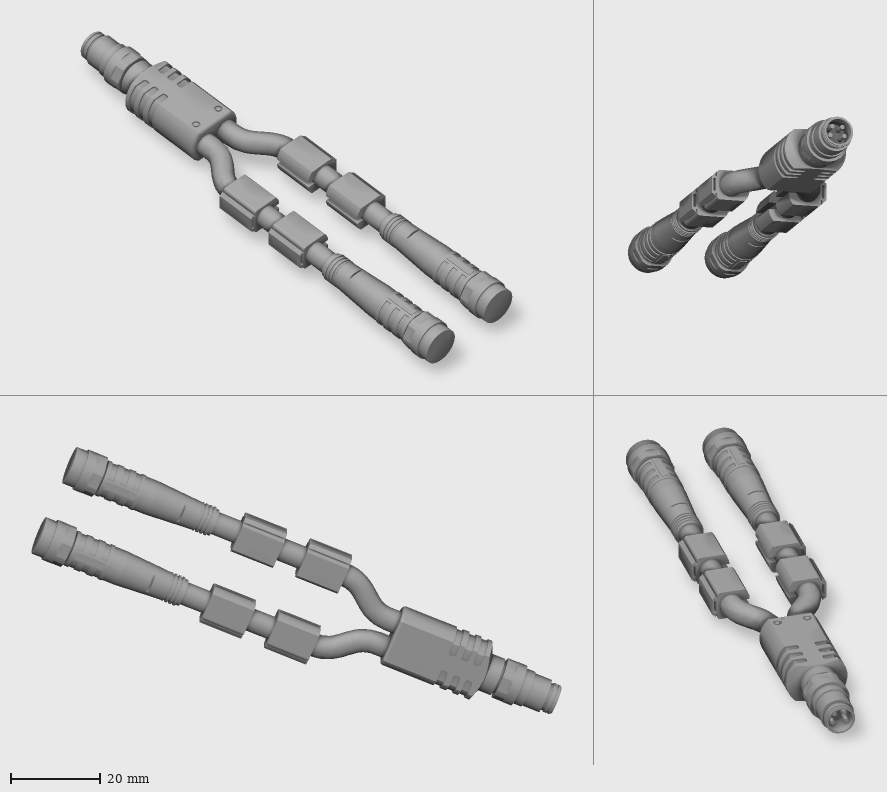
import cadquery as cq
import math


total_length = 122.1
overall_width = 27.6
coupling_diameter = 9.6
branch_y = (overall_width - coupling_diameter) / 2
cable_diameter = 5.3
exit_spacing = 6.2
exit_y = exit_spacing / 2

nut_ring_length = 2.2
nut_grip_length = 2.5
nut_flat_count = 6
nut_across_flats = 9.0
nut_flat_turn = 180 / nut_flat_count
nut_length = nut_ring_length + nut_grip_length

sleeve_diameter = 6.5
sleeve_rib_diameter = 7.0
sleeve_length = 2.7
sleeve_ribs = [(0.4, 0.4), (1.1, 0.7)]
barrel_diameter = 7.8
collar_diameter = 8.4
collar_start = 6.8
male_nut_start = 9.0
neck_gap = 0.6
neck_gap_diameter = 7.2
neck_diameter = 8.8
bore_diameter = 5.7
bore_depth = 4.9
pin_diameter = 1.0
pin_circle_diameter = 3.5
pin_angles = (49, 131, 204, 336)
pin_setback = 1.0

body_start = 17.2
body_end = 40.0
body_width = 14.3
body_height = 9.2
body_face_width = 10.0
nose_start_diameter = 8.3
nose_length = 1.2
body_end_fillet = 0.7
body_groove_starts = (19.4, 22.3, 25.4)
body_groove_width = 1.7
body_groove_depth = 0.43
body_groove_gap = 3.8
body_groove_corner = 0.6
lamp_x = 37.5
lamp_spacing = 7.0
lamp_diameter = 2.0
lamp_depth = 0.4
lamp_pin_diameter = 1.0

bend_start = 42.1
bend_end = 55.3

clip_starts = (bend_end, 71.1)
clip_length = 10.1
clip_height = 6.8
clip_half_width = 4.4
clip_lip_face_y = 3.3
clip_lip_radius = 3.8
clip_shoulder_y = 3.2
clip_shoulder_radius = 0.7
clip_slit_height = 1.5
clip_neck_height = 3.9
label_slot_y = 3.4
label_slot_width = 0.6
label_slot_height = 2.9
plate_inner_y = 3.5
plate_face_height = 3.9
plate_back_height = 5.4

grommet_start = 86.9
grommet_lead_length = 0.9
grommet_lead_diameter = 6.2
grommet_diameter = 6.8
grommet_groove_starts = (88.3, 89.3, 90.2)
grommet_groove_width = 0.5
cone_start = 91.0
cone_start_diameter = 6.6
cone_end = 102.1
cone_end_diameter = 8.0
grip_start = 105.3
grip_diameter = 8.4
grip_end = 114.3
mark_x = 94.9
mark_width = 0.5
mark_spacing = 5.6
grip_groove_starts = (106.1, 109.0, 112.0)
grip_groove_width = 1.5
grip_groove_depth = 0.2
grip_groove_gap = 2.7
bar_width = 1.6
bar_height = 8.7
bar_length = grip_groove_starts[-1] + grip_groove_width - grip_groove_starts[0]
female_nut_start = 114.8
socket_gap_diameter = 5.9
socket_diameter = 8.8


def cylinder(start, length, diameter, y=0.0, z=0.0):
    """Round bar along X."""
    return (
        cq.Workplane("YZ", origin=(start, y, z))
        .circle(diameter / 2)
        .extrude(length)
    )


def cone(start, length, start_diameter, end_diameter):
    """Truncated cone along X."""
    profile = [
        (start, 0),
        (start, start_diameter / 2),
        (start + length, end_diameter / 2),
        (start + length, 0),
    ]
    return (
        cq.Workplane("XY")
        .polyline(profile)
        .close()
        .revolve(360, (0, 0, 0), (1, 0, 0))
    )


def ring(start, width, outer_diameter, inner_diameter):
    """Flat ring around the X axis, used to cut grooves."""
    return cylinder(start, width, outer_diameter).cut(
        cylinder(start, width, inner_diameter)
    )


def box(start, length, width, height):
    """Block starting at an X position, centred in Y and Z."""
    return cq.Workplane("XY", origin=(start, 0, 0)).box(
        length, width, height, centered=(False, True, True)
    )


def coupling_nut(ring_start, grip_start):
    """Smooth ring beside a grip zone with milled flats."""
    grip = cylinder(grip_start, nut_grip_length, coupling_diameter)
    flats = (
        cq.Workplane("YZ", origin=(grip_start, 0, 0))
        .polygon(nut_flat_count, nut_across_flats, circumscribed=True)
        .extrude(nut_grip_length)
        .rotate((0, 0, 0), (1, 0, 0), nut_flat_turn)
    )
    nut_ring = cylinder(ring_start, nut_ring_length, coupling_diameter)
    return grip.intersect(flats).union(nut_ring)


def male_connector():
    nut_end = male_nut_start + nut_length
    neck_start = nut_end + neck_gap
    sleeve = cylinder(0, sleeve_length, sleeve_diameter)
    for start, width in sleeve_ribs:
        sleeve = sleeve.union(cylinder(start, width, sleeve_rib_diameter))
    plug = (
        sleeve
        .union(cylinder(sleeve_length, collar_start - sleeve_length, barrel_diameter))
        .union(cylinder(collar_start, male_nut_start - collar_start, collar_diameter))
        .union(coupling_nut(male_nut_start, male_nut_start + nut_ring_length))
        .union(cylinder(nut_end, neck_gap, neck_gap_diameter))
        .union(cylinder(neck_start, body_start - neck_start, neck_diameter))
        .cut(cylinder(0, bore_depth, bore_diameter))
    )
    pin_circle_radius = pin_circle_diameter / 2
    for angle in pin_angles:
        y = pin_circle_radius * math.cos(math.radians(angle))
        z = pin_circle_radius * math.sin(math.radians(angle))
        plug = plug.union(cylinder(pin_setback, bore_depth, pin_diameter, y, z))
    return plug


def body_section(start, end, inset=0.0):
    """Flat top and bottom with bulging round sides; inset shrinks the section."""
    half_width = body_width / 2 - inset
    half_face = body_face_width / 2 - inset
    half_height = body_height / 2 - inset
    return (
        cq.Workplane("YZ", origin=(start, 0, 0))
        .moveTo(-half_face, -half_height)
        .lineTo(half_face, -half_height)
        .threePointArc((half_width, 0), (half_face, half_height))
        .lineTo(-half_face, half_height)
        .threePointArc((-half_width, 0), (-half_face, -half_height))
        .close()
        .extrude(end - start)
    )


def splitter_body():
    body = body_section(body_start, body_end)
    body = body.faces(">X").edges().fillet(body_end_fillet)

    nose = cone(body_start, nose_length, nose_start_diameter, body_width)
    rest = cylinder(body_start + nose_length, body_end - body_start, 2 * body_width)
    body = body.intersect(nose.union(rest))

    side_width = body_width
    side_y = (body_groove_gap + side_width) / 2
    for start in body_groove_starts:
        core = body_section(start, start + body_groove_width, body_groove_depth)
        for side in (-1, 1):
            groove = (
                box(start, body_groove_width, side_width, 2 * body_height)
                .edges("|Z")
                .fillet(body_groove_corner)
                .translate((0, side * side_y, 0))
            )
            body = body.cut(groove.cut(core))

    top_z = body_height / 2
    for side in (-1, 1):
        recess = (
            cq.Workplane("XY", origin=(lamp_x, side * lamp_spacing / 2, top_z - lamp_depth))
            .circle(lamp_diameter / 2)
            .circle(lamp_pin_diameter / 2)
            .extrude(lamp_depth)
        )
        body = body.cut(recess)
    return body


def branch_cable():
    """Cable on the +Y side: out of the body, through an S bend, along the branch."""
    path = (
        cq.Workplane("XY")
        .moveTo(body_end - body_end_fillet, exit_y)
        .lineTo(bend_start, exit_y)
        .spline([(bend_end, branch_y)], tangents=[(1, 0), (1, 0)], includeCurrent=True)
        .lineTo(grommet_start, branch_y)
    )
    return (
        cq.Workplane("YZ", origin=(body_end - body_end_fillet, exit_y, 0))
        .circle(cable_diameter / 2)
        .sweep(path)
    )


def label_clip(start):
    """Cable clip slit on its inner side, with a label plate on its outer (+Y) side."""
    half_height = clip_height / 2
    half_slit = clip_slit_height / 2
    upper_half = (
        cq.Workplane("YZ", origin=(start, 0, 0))
        .moveTo(0, half_slit)
        .lineTo(-clip_half_width, half_slit)
        .radiusArc((-clip_lip_face_y, half_height), clip_lip_radius)
        .lineTo(clip_shoulder_y - clip_shoulder_radius, half_height)
        .radiusArc((clip_shoulder_y, half_height - clip_shoulder_radius), clip_shoulder_radius)
        .lineTo(clip_shoulder_y, 0)
        .lineTo(0, 0)
        .close()
        .extrude(clip_length)
    )
    body = upper_half.union(upper_half.mirror("XY"))

    plate_half_face = plate_face_height / 2
    plate_half_back = plate_back_height / 2
    plate = (
        cq.Workplane("YZ", origin=(start, 0, 0))
        .polyline([
            (clip_half_width, -plate_half_face),
            (clip_half_width, plate_half_face),
            (plate_inner_y, plate_half_back),
            (plate_inner_y, -plate_half_back),
        ])
        .close()
        .extrude(clip_length)
    )
    neck = (
        cq.Workplane("XY", origin=(start, 0, 0))
        .box(clip_length, plate_inner_y, clip_neck_height, centered=(False, False, True))
    )
    label_slot = (
        cq.Workplane("XY", origin=(start, label_slot_y, 0))
        .box(clip_length, label_slot_width, label_slot_height, centered=(False, False, True))
    )
    return body.union(neck).union(plate).cut(label_slot)


def grommet():
    ribs_start = grommet_start + grommet_lead_length
    ribs = cylinder(ribs_start, cone_start - ribs_start, grommet_diameter)
    for start in grommet_groove_starts:
        ribs = ribs.cut(
            ring(start, grommet_groove_width, grommet_diameter, grommet_lead_diameter)
        )
    return ribs.union(cylinder(grommet_start, grommet_lead_length, grommet_lead_diameter))


def female_grip():
    boot = cone(cone_start, cone_end - cone_start, cone_start_diameter, cone_end_diameter)

    mark_start = mark_x - mark_width / 2
    mark = box(mark_start, mark_width, 2 * grip_diameter, 2 * grip_diameter).cut(
        box(mark_start, mark_width, 2 * grip_diameter, mark_spacing)
    )
    boot = boot.cut(mark)
    boot = boot.union(cylinder(cone_end, grip_start - cone_end, cone_end_diameter))

    grip = cylinder(grip_start, grip_end - grip_start, grip_diameter)

    core_diameter = grip_diameter - 2 * grip_groove_depth
    for start in grip_groove_starts:
        groove = ring(start, grip_groove_width, grip_diameter, core_diameter)
        strip = box(start, grip_groove_width, grip_groove_gap, 2 * grip_diameter)
        grip = grip.cut(groove.cut(strip))

    bar = box(grip_groove_starts[0], bar_length, bar_width, bar_height)
    return boot.union(grip).union(bar)


def female_connector():
    nut_end = female_nut_start + nut_length
    return (
        grommet()
        .union(female_grip())
        .union(cylinder(grip_end, female_nut_start - grip_end, socket_gap_diameter))
        .union(coupling_nut(female_nut_start + nut_grip_length, female_nut_start))
        .union(cylinder(nut_end, total_length - nut_end, socket_diameter))
    )


def branch():
    """Everything on the +Y side of the splitter body."""
    fittings = female_connector()
    for start in clip_starts:
        fittings = fittings.union(label_clip(start))
    return branch_cable().union(fittings.translate((0, branch_y, 0)))


plus_y_branch = branch()
minus_y_branch = plus_y_branch.mirror("XZ")
result = (
    splitter_body()
    .union(male_connector())
    .union(plus_y_branch)
    .union(minus_y_branch)
)